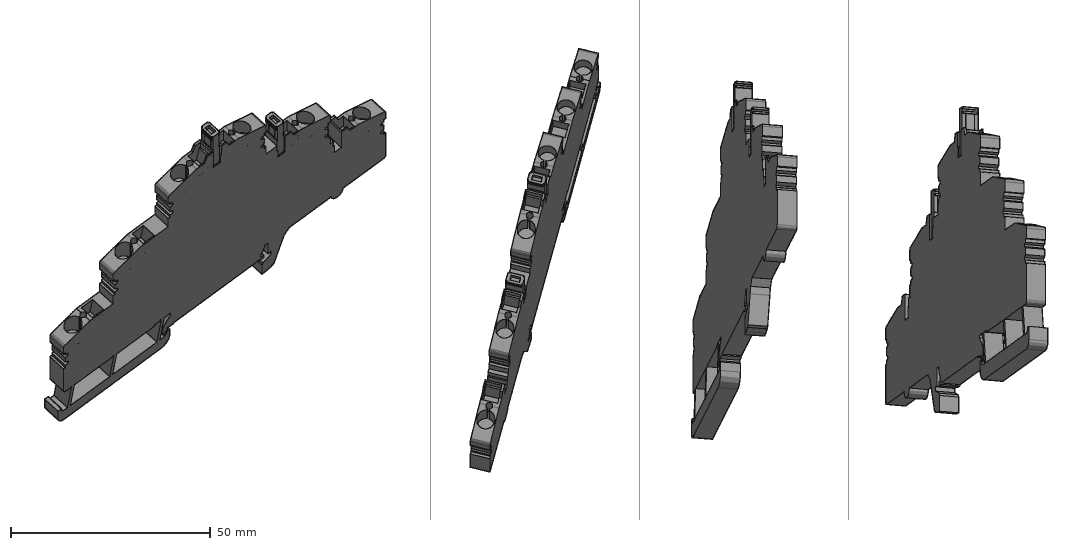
import cadquery as cq

thickness = 5.1
overall_height = 75.0

base_z = 11.8
center_base_z = 7.2
tier_z = 34.8
tier_pitch = 16.1

tier_ends = [(55.1, -53.3), (36.5, -36.7), (14.9, -18.1)]
ramp_ends = [(45.8, -44.4), (26.9, -27.3), (5.5, -8.6)]
tier_levels = [tier_z + number * tier_pitch for number in range(len(tier_ends))]
ramp_drop = 3.0
corner_radius = 0.9

groove_drop = 9.4
groove_half_height = 3.2
groove_step_half = 2.3
groove_floor_outer = 2.0
groove_floor_inner = 1.4
tooth_half_height = 0.9
groove_step = 0.7
groove_depth = 1.7

ridge_height = 2.1
ridge_top = 2.1
ridge_flank = 0.9
slot_width = 2.3
slot_depth = 6.7
recess_width = 0.3
recess_depth = 1.8
pad_height = 0.4
slot_walls = [40.1, 21.2, -2.9]
slot_sides = [-1, -1, 1]

opening_depth = 6.6
wire_hole_d = 4.5
test_hole_d = 1.7
slit_width = 0.5
hole_distance = 3.1
pocket_x_min = -1.9
pocket_x_max = 2.2
pocket_start = 1.0
pocket_end = 4.4
pocket_depth = 4.4
pocket_taper = 0.8
pocket_mouth = 0.4

stud_y = 38.8
stud_radius = 2.0

foot_y_min = -55.1
foot_y_max = -17.5
foot_floor_z = 4.1
foot_lip_z = 5.4
foot_left_radius = 3.3
foot_right_radius = 2.0
strut_thickness = 1.0
strut_lean = 1.7
strut_tops = [-19.8, -35.7, -49.9]

marker_thickness = 4.4
marker_blade = 2.0
blade_setback = 0.1
face_groove_width = 2.3
face_groove_depth = 0.1
marker_tiers = [1, 2]
flange_overhang = 0.3
flange_height = 0.5
flange_gap = 0.5
flange_width = 3.9
socket_width = 2.4
socket_length = 1.3
socket_depth = 1.3


def plate(points):
    """Extrudes a closed (Y, Z) outline through the full width of the housing."""
    return cq.Workplane("YZ", origin=(-thickness / 2, 0, 0)).polyline(points).close().extrude(thickness)


def block(y_start, y_end, z_min, z_max, x_min=-thickness / 2, x_max=thickness / 2):
    y_min = min(y_start, y_end)
    return (
        cq.Workplane("XY")
        .box(x_max - x_min, abs(y_end - y_start), z_max - z_min, centered=False)
        .translate((x_min, y_min, z_min))
    )


def slot_floor(number):
    return tier_levels[number] + ridge_height - slot_depth


marker_height = overall_height - slot_floor(2)


def tier_end(end, ramp_end, inward, level):
    """Outline of one tier end from below its grooves up to the end of its ramp."""
    groove_z = level - groove_drop
    lower_half = [
        (0, -groove_half_height),
        (groove_step, -groove_half_height),
        (groove_step, -groove_step_half),
        (groove_depth, -groove_floor_outer),
        (groove_depth, -groove_floor_inner),
        (groove_step, -tooth_half_height),
    ]
    upper_half = [(depth, -height) for depth, height in reversed(lower_half)]
    grooves = [(end + inward * depth, groove_z + height) for depth, height in lower_half + upper_half]
    return grooves + [(end, level - ramp_drop), (ramp_end, level)]


def flank_outline(side):
    """Stepped outline of one flank from the lowest tier up; side 0 is +Y, side 1 is -Y."""
    inward = -1 if side == 0 else 1
    points = []
    for ends, ramps, level in zip(tier_ends, ramp_ends, tier_levels):
        if points:
            points.append((ends[side], level - tier_pitch))
        points += tier_end(ends[side], ramps[side], inward, level)
    return points


def underside_outline():
    """Clip foot, middle part and fixed hook, from the -Y wing to the +Y wing."""
    left_end, right_end = tier_ends[0]
    right_wing = [
        (right_end, base_z),
        (-22.8, base_z),
        (-22.4, 12.3),
        (-17.4, 12.3),
    ]
    fixed_hook = [
        (-17.2, 11.7),
        (-19.8, 8.5),
        (-19.8, 5.2),
        (-19.4, 5.2),
        (-18.3, 6.3),
        (-18.3, 6.8),
        (-16.1, 6.8),
        (-16.1, center_base_z),
    ]
    middle = [
        (12.5, center_base_z),
        (12.5, 6.8),
        (14.1, 6.8),
        (14.1, 7.9),
        (13.0, 7.9),
        (13.1, 8.8),
        (13.8, 9.8),
        (14.4, 11.8),
        (15.4, 11.8),
    ]
    clip_foot = [
        (15.4, 7.2),
        (16.5, 7.2),
        (16.5, 6.1),
        (13.8, 4.8),
        (13.4, 4.2),
        (13.4, 0.1),
        (15.1, 0.2),
        (16.9, 0.7),
        (17.5, 1.1),
        (20.3, 8.4),
        (20.9, 10.1),
        (22.7, base_z),
    ]
    return right_wing + fixed_hook + middle + clip_foot + [(left_end, base_z)]


def housing_plate():
    outline = flank_outline(0) + flank_outline(1)[::-1] + underside_outline()
    body = plate(outline)
    reach = 0.1
    corners = [(end, base_z) for end in tier_ends[0]]
    for ends, level in zip(tier_ends, tier_levels):
        corners += [(end, level - ramp_drop) for end in ends]
    for y, z in corners:
        near_corner = cq.selectors.BoxSelector(
            (-thickness, y - reach, z - reach),
            (thickness, y + reach, z + reach),
        )
        body = body.edges("|X").edges(near_corner).fillet(corner_radius)
    return body


def stud():
    return (
        cq.Workplane("YZ", origin=(-thickness / 2, stud_y, base_z))
        .circle(stud_radius)
        .extrude(thickness)
    )


def ridge(wall, outward, level):
    """Ridge whose flat top ends at the slot wall and whose flank slopes down outward."""
    top_end = wall + outward * ridge_top
    return plate([
        (wall, level - ridge_height),
        (top_end + outward * ridge_flank, level - ridge_height),
        (top_end + outward * ridge_flank, level),
        (top_end, level + ridge_height),
        (wall, level + ridge_height),
    ])


def slot_surrounds():
    """Ridges beside the slots and the raised floors behind them."""
    shapes = []
    for number, (wall, side) in enumerate(zip(slot_walls, slot_sides)):
        level = tier_levels[number]
        far_wall = wall + side * slot_width
        shapes.append(ridge(wall, -side, level))
        if number + 1 < len(tier_ends):
            next_tier = tier_ends[number + 1][0]
            shapes.append(block(far_wall + side * recess_width, next_tier - 1.1, level - 1.1, level + pad_height))
        else:
            shapes.append(ridge(far_wall, side, level))
    return shapes


def slot_cut(number):
    wall = slot_walls[number]
    side = slot_sides[number]
    far_wall = wall + side * slot_width
    top = tier_levels[number] + ridge_height
    mouth_floor = tier_levels[number] - recess_depth
    slot = block(wall, far_wall, slot_floor(number), top)
    return slot.union(block(wall, far_wall + side * recess_width, mouth_floor, top))


def conductor_opening(ramp_end, inward, level):
    """Wire hole, slit, test hole and tapered release pocket of one connection."""
    top = level + ridge_height
    floor = level - opening_depth
    wire_y = ramp_end - inward * hole_distance
    wire_hole = cq.Workplane("XY", origin=(0, wire_y, floor)).circle(wire_hole_d / 2).extrude(opening_depth)
    test_hole = cq.Workplane("XY", origin=(0, ramp_end, floor)).circle(test_hole_d / 2).extrude(opening_depth)
    slit = block(wire_y, ramp_end, floor, level, -slit_width / 2, slit_width / 2)
    start = ramp_end + inward * pocket_start
    end = ramp_end + inward * pocket_end
    pocket = (
        cq.Workplane("YZ", origin=(pocket_x_min, 0, 0))
        .polyline([
            (start, top),
            (start, level - pocket_depth),
            (end - inward * pocket_taper, level - pocket_depth),
            (end, level),
            (end + inward * pocket_mouth, level),
            (end + inward * pocket_mouth, top),
        ])
        .close()
        .extrude(pocket_x_max - pocket_x_min)
    )
    return wire_hole.union(slit).union(test_hole).union(pocket)


def strut(top_y):
    half = strut_thickness / 2
    top_z = base_z + 1.1
    bottom_y = top_y - strut_lean
    return plate([
        (top_y - half, top_z),
        (top_y + half, top_z),
        (bottom_y + half, foot_floor_z - half),
        (bottom_y - half, foot_floor_z - half),
    ])


def rail_foot():
    foot = plate([
        (foot_y_max, 0),
        (foot_y_max, 5.6),
        (-18.4, 5.6),
        (-18.5, 5.1),
        (-19.3, 4.2),
        (-20.4, foot_floor_z),
        (-53.4, foot_floor_z),
        (-53.9, 4.6),
        (-53.9, foot_lip_z),
        (foot_y_min, foot_lip_z),
        (foot_y_min, 0),
    ])
    foot = foot.edges("|X and <Z and >Y").fillet(foot_left_radius)
    return foot.edges("|X and <Z and <Y").fillet(foot_right_radius)


def make_housing():
    body = housing_plate().union(stud()).union(rail_foot())
    for top_y in strut_tops:
        body = body.union(strut(top_y))
    for shape in slot_surrounds():
        body = body.union(shape)
    for number, (left, right) in enumerate(ramp_ends):
        body = body.cut(slot_cut(number))
        body = body.cut(conductor_opening(left, -1.1, tier_levels[number]))
        body = body.cut(conductor_opening(right, 1.1, tier_levels[number]))
    return body


def make_marker(number):
    """Marker standing on the slot floor of one tier; its foot fills the slot up to the ridge top."""
    side = slot_sides[number]
    near_wall = slot_walls[number]
    far_wall = near_wall + side * slot_width
    front = far_wall - side * blade_setback
    back = front - side * marker_blade
    floor = slot_floor(number)
    ridge_z = tier_levels[number] + ridge_height
    top = floor + marker_height
    half = marker_thickness / 2

    foot = block(near_wall, far_wall, floor, ridge_z, -half, half)
    marker = foot.union(block(back, front, ridge_z, top, -half, half))

    flange_start = back - side * flange_overhang
    flange_end = front + side * flange_overhang
    flange_half = flange_width / 2
    for step in range(2):
        flange_top = top - step * (flange_height + flange_gap)
        flange_bottom = flange_top - flange_height
        marker = marker.union(
            block(flange_start, flange_end, flange_bottom, flange_top, -flange_half, flange_half)
        )

    face_y = min(back, front)
    groove_half = face_groove_width / 2
    marker = marker.cut(
        block(face_y, face_y + face_groove_depth, ridge_z, flange_bottom, -groove_half, groove_half)
    )

    middle = (back + front) / 2
    socket_start = middle - socket_length / 2
    socket_end = middle + socket_length / 2
    socket_half = socket_width / 2
    return marker.cut(block(socket_start, socket_end, top - socket_depth, top, -socket_half, socket_half))


housing = make_housing()
markers = [make_marker(number).val() for number in marker_tiers]
result = cq.Compound.makeCompound([housing.val(), *markers])